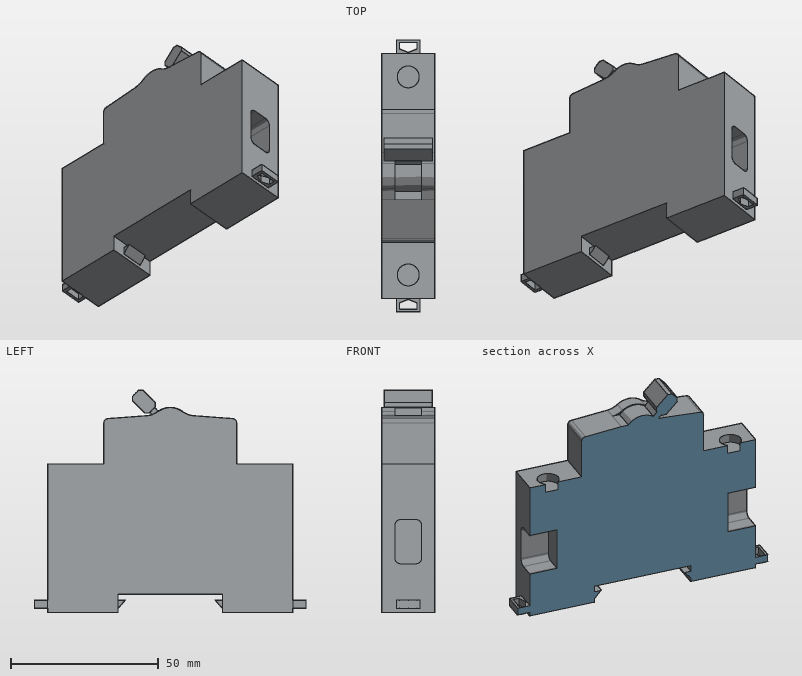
import math

import cadquery as cq


housing_width = 18.0
housing_length = 83.0
shoulder_height = 50.3
cap_length = 45.0
cap_corner_radius = 1.5
roof_slope = math.radians(4.2)
rail_slot_length = 35.3
rail_slot_height = 6.2

pivot_height = 62.45
hump_radius = 7.0
hump_half_angle = math.radians(37.0)
blend_radius = 7.0

lever_slot_width = 9.1
drum_radius = 6.75

lever_tilt = 45.0
overall_height = 75.23
handle_width = 16.4
handle_thickness = 5.1
handle_length = 8.0
handle_chamfer = 1.1
neck_thickness = 2.4

screw_hole_diameter = 7.4
screw_hole_depth = 3.0
screw_hole_offset = 33.5
wire_pocket_width = 9.1
wire_pocket_height = 15.0
wire_pocket_depth = 10.0
wire_pocket_radius = 2.0
wire_pocket_center_height = 24.0

clip_span = 92.0
clip_width = 8.1
clip_bottom = 1.4
clip_height = 2.8
clip_window_width = 5.9
clip_end_wall = 0.9
clip_window_side = 2.1
clip_window_length = 3.3
claw_reach = 2.5

sin_hump = math.sin(hump_half_angle)
cos_hump = math.cos(hump_half_angle)
hump_end = (hump_radius * sin_hump, pivot_height + hump_radius * cos_hump)
blend_center = (
    (hump_radius + blend_radius) * sin_hump,
    pivot_height + (hump_radius + blend_radius) * cos_hump,
)


def blend_point(angle):
    """Point on the blend arc whose tangent falls away at the given angle."""
    return (
        blend_center[0] - blend_radius * math.sin(angle),
        blend_center[1] - blend_radius * math.cos(angle),
    )


blend_middle = blend_point((hump_half_angle + roof_slope) / 2)
blend_end = blend_point(roof_slope)
roof_edge = (
    cap_length / 2,
    blend_end[1] - (cap_length / 2 - blend_end[0]) * math.tan(roof_slope),
)


def mirrored(point):
    return (-point[0], point[1])


def extrude_across(outline, width):
    """Extrude a closed Y-Z outline to a width centred on X = 0."""
    return outline.extrude(width / 2, both=True)


def at_both_ends(shape):
    """Pair a shape at the -Y end with its mirror image at the +Y end."""
    return shape.union(shape.mirror("XZ"))


def make_housing():
    half_length = housing_length / 2
    half_cap = cap_length / 2
    half_rail = rail_slot_length / 2
    outline = (
        cq.Workplane("YZ")
        .moveTo(half_rail, 0)
        .lineTo(half_length, 0)
        .lineTo(half_length, shoulder_height)
        .lineTo(half_cap, shoulder_height)
        .lineTo(*roof_edge)
        .lineTo(*blend_end)
        .threePointArc(blend_middle, hump_end)
        .threePointArc((0, pivot_height + hump_radius), mirrored(hump_end))
        .threePointArc(mirrored(blend_middle), mirrored(blend_end))
        .lineTo(*mirrored(roof_edge))
        .lineTo(-half_cap, shoulder_height)
        .lineTo(-half_length, shoulder_height)
        .lineTo(-half_length, 0)
        .lineTo(-half_rail, 0)
        .lineTo(-half_rail, rail_slot_height)
        .lineTo(half_rail, rail_slot_height)
        .close()
    )
    housing = extrude_across(outline, housing_width)
    edge_reach = cap_corner_radius / 2
    for side in (-1, 1):
        corner_edge = cq.selectors.BoxSelector(
            (-housing_width, side * half_cap - edge_reach, roof_edge[1] - edge_reach),
            (housing_width, side * half_cap + edge_reach, roof_edge[1] + edge_reach),
        )
        housing = housing.edges(corner_edge).fillet(cap_corner_radius)
    return housing


def make_lever_slot():
    slot_depth = pivot_height + hump_radius - blend_end[1]
    return (
        cq.Workplane("XY", origin=(0, 0, blend_end[1]))
        .rect(lever_slot_width, 2 * blend_end[0])
        .extrude(slot_depth)
    )


def make_lever():
    """Drum, neck and handle, built upright on the pivot and then tilted towards +Y."""
    tilt = math.radians(lever_tilt)
    half_tip = handle_thickness / 2 - handle_chamfer
    tip_height = overall_height - pivot_height
    handle_end = (tip_height - half_tip * math.sin(tilt)) / math.cos(tilt)
    handle_start = handle_end - handle_length
    handle = (
        cq.Workplane("XY", origin=(0, 0, handle_start))
        .rect(handle_width, handle_thickness)
        .extrude(handle_length)
        .edges("|X")
        .chamfer(handle_chamfer)
    )
    neck = (
        cq.Workplane("XY")
        .rect(lever_slot_width, neck_thickness)
        .extrude(handle_start)
    )
    drum = extrude_across(cq.Workplane("YZ").circle(drum_radius), lever_slot_width)
    lever = drum.union(neck).union(handle)
    return lever.rotate((0, 0, 0), (1, 0, 0), -lever_tilt).translate((0, 0, pivot_height))


def make_screw_hole():
    return (
        cq.Workplane("XY", origin=(0, -screw_hole_offset, shoulder_height))
        .circle(screw_hole_diameter / 2)
        .extrude(-screw_hole_depth)
    )


def make_wire_pocket():
    return (
        cq.Workplane("XZ", origin=(0, -housing_length / 2, wire_pocket_center_height))
        .rect(wire_pocket_width, wire_pocket_height)
        .extrude(-wire_pocket_depth)
        .edges("|Y")
        .fillet(wire_pocket_radius)
    )


def make_clip():
    """Slider through the foot: windowed pull tab outside, wedge-shaped claw in the rail slot."""
    tab_end = -clip_span / 2
    claw_root = -rail_slot_length / 2
    clip_top = clip_bottom + clip_height
    slider_outline = (
        cq.Workplane("YZ")
        .moveTo(tab_end, clip_bottom)
        .lineTo(claw_root, clip_bottom)
        .lineTo(claw_root + claw_reach, clip_top)
        .lineTo(tab_end, clip_top)
        .close()
    )
    slider = extrude_across(slider_outline, clip_width)
    window_start = tab_end + clip_end_wall
    window_half_width = clip_window_width / 2
    window = (
        cq.Workplane("XY", origin=(0, 0, clip_bottom))
        .moveTo(-window_half_width, window_start)
        .lineTo(window_half_width, window_start)
        .lineTo(window_half_width, window_start + clip_window_side)
        .lineTo(0, window_start + clip_window_length)
        .lineTo(-window_half_width, window_start + clip_window_side)
        .close()
        .extrude(clip_height)
    )
    return slider.cut(window)


result = (
    make_housing()
    .cut(make_lever_slot())
    .cut(at_both_ends(make_screw_hole()))
    .cut(at_both_ends(make_wire_pocket()))
    .union(at_both_ends(make_clip()))
    .union(make_lever())
)